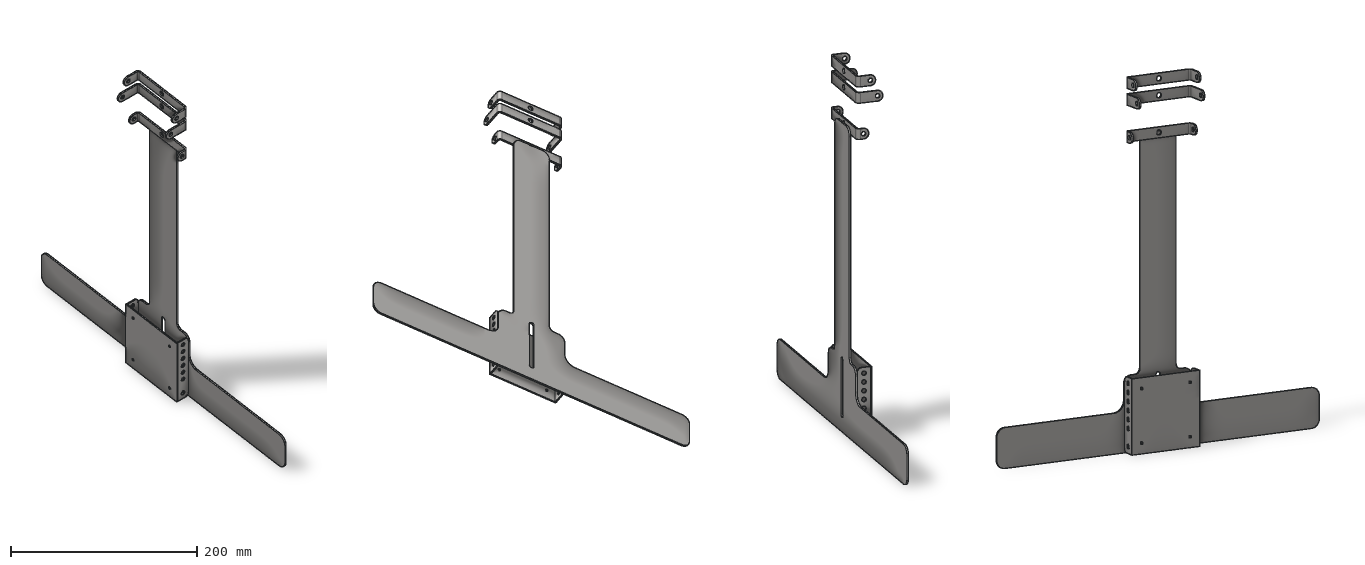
import cadquery as cq


sheet = 2.0
box_sheet = 1.5
screw_hole_diameter = 5.0
mounting_hole_diameter = 6.0
rivet_hole_diameter = 3.0

wing_span = 400.0
wing_height = 45.0
wing_corner_radius = 10.0
wing_fillet_radius = 13.0
panel_width = 84.0
panel_height = 85.0
panel_corner_radius = 9.0
mast_width = 44.7
mast_top = 350.0
mast_corner_radius = 9.0
mast_fillet_radius = 6.2
slot_width = mounting_hole_diameter
slot_bottom = 16.5
slot_top = 84.5

box_bottom = 1.0
box_height = 84.0
wall_depth = 15.5
wall_corner_chamfer = 3.5
wall_hole_inset = 8.0
wall_hole_pitch = 10.0
wall_hole_steps = (0, 2, 3, 4, 5, 6, 7)
lowest_wall_hole = 8.5
rivet_spacing = 60.0

overall_height = 414.0
bracket_width = panel_width - 2 * box_sheet
bracket_height = 12.0
bend_inner_radius = 2.0
bracket_places = [
    (overall_height - bracket_height / 2, 15.7),
    (389.5, 24.0),
    (348.5, 8.0),
]

plate_front = -sheet
wall_front = plate_front - wall_depth


def rounded(solid, corners, radius):
    """Round the edges along Y that pass through the given (x, z) corners, on both sides of X = 0."""
    for x, z in corners:
        for side in (-1, 1):
            corner = cq.selectors.NearestToPointSelector((side * x, -sheet / 2, z))
            solid = solid.edges(corner).fillet(radius)
    return solid


def make_base_plate():
    """Flat plate with rounded corners and an upright slot in the centre panel."""
    half_span = wing_span / 2
    half_panel = panel_width / 2
    half_mast = mast_width / 2
    plate = (
        cq.Workplane("XZ")
        .moveTo(0, 0)
        .lineTo(half_span, 0)
        .lineTo(half_span, wing_height)
        .lineTo(half_panel, wing_height)
        .lineTo(half_panel, panel_height)
        .lineTo(half_mast, panel_height)
        .lineTo(half_mast, mast_top)
        .lineTo(0, mast_top)
        .mirrorY()
        .extrude(sheet)
    )
    plate = rounded(plate, [(half_span, 0), (half_span, wing_height)], wing_corner_radius)
    plate = rounded(plate, [(half_panel, wing_height)], wing_fillet_radius)
    plate = rounded(plate, [(half_panel, panel_height)], panel_corner_radius)
    plate = rounded(plate, [(half_mast, panel_height)], mast_fillet_radius)
    plate = rounded(plate, [(half_mast, mast_top)], mast_corner_radius)
    slot = (
        cq.Workplane("XZ")
        .center(0, (slot_bottom + slot_top) / 2)
        .slot2D(slot_top - slot_bottom, slot_width, 90)
        .extrude(sheet)
    )
    return plate.cut(slot)


def make_side_wall(side):
    """Side wall with a row of screw holes; side is -1 for the left wall and 1 for the right one."""
    outer_x = side * panel_width / 2
    wall = (
        cq.Workplane("YZ", origin=(outer_x, 0, box_bottom))
        .moveTo(plate_front, wall_corner_chamfer)
        .lineTo(plate_front, box_height - wall_corner_chamfer)
        .lineTo(plate_front - wall_corner_chamfer, box_height)
        .lineTo(wall_front, box_height)
        .lineTo(wall_front, 0)
        .lineTo(plate_front - wall_corner_chamfer, 0)
        .close()
        .extrude(-side * box_sheet)
    )
    hole_centres = [
        (plate_front - wall_hole_inset, lowest_wall_hole + step * wall_hole_pitch) for step in wall_hole_steps
    ]
    holes = (
        cq.Workplane("YZ", origin=(outer_x, 0, 0))
        .pushPoints(hole_centres)
        .circle(screw_hole_diameter / 2)
        .extrude(-side * box_sheet)
    )
    return wall.cut(holes)


def make_cover():
    """Flat cover with a rivet hole near each corner."""
    return (
        cq.Workplane("XZ", origin=(0, wall_front, box_bottom + box_height / 2))
        .rect(panel_width, box_height)
        .rect(rivet_spacing, rivet_spacing, forConstruction=True)
        .vertices()
        .circle(rivet_hole_diameter / 2)
        .extrude(box_sheet)
    )


def make_bracket(centre_height, arm_hole_distance):
    """U-bracket with round arm ends, a hole in each arm and one in the middle of the back."""
    end_radius = bracket_height / 2
    depth = arm_hole_distance + end_radius
    half_width = bracket_width / 2
    back = plate_front
    arm_end = back - depth
    bracket = (
        cq.Workplane("XY", origin=(0, 0, centre_height - bracket_height / 2))
        .moveTo(-half_width, arm_end)
        .lineTo(-half_width, back)
        .lineTo(half_width, back)
        .lineTo(half_width, arm_end)
        .lineTo(half_width - sheet, arm_end)
        .lineTo(half_width - sheet, back - sheet)
        .lineTo(-half_width + sheet, back - sheet)
        .lineTo(-half_width + sheet, arm_end)
        .close()
        .extrude(bracket_height)
    )
    bracket = bracket.edges("|Z and >Y").fillet(bend_inner_radius + sheet)
    for inner_x in (sheet - half_width, half_width - sheet):
        inner_corner = cq.selectors.NearestToPointSelector((inner_x, back - sheet, centre_height))
        bracket = bracket.edges(inner_corner).fillet(bend_inner_radius)
    side_outline = (
        cq.Workplane("YZ", origin=(-half_width, 0, centre_height))
        .moveTo(back, -end_radius)
        .lineTo(back, end_radius)
        .lineTo(back - arm_hole_distance, end_radius)
        .threePointArc((arm_end, 0), (back - arm_hole_distance, -end_radius))
        .close()
        .moveTo(back - arm_hole_distance, 0)
        .circle(screw_hole_diameter / 2)
        .extrude(bracket_width)
    )
    back_hole = (
        cq.Workplane("XZ", origin=(0, back, centre_height)).circle(mounting_hole_diameter / 2).extrude(sheet)
    )
    return bracket.intersect(side_outline).cut(back_hole)


base_plate = make_base_plate()
side_walls = [make_side_wall(side) for side in (-1, 1)]
cover = make_cover()
brackets = [make_bracket(height, distance) for height, distance in bracket_places]

result = cq.Compound.makeCompound(
    [
        base_plate.val(),
        *[wall.val() for wall in side_walls],
        cover.val(),
        *[bracket.val() for bracket in brackets],
    ]
)